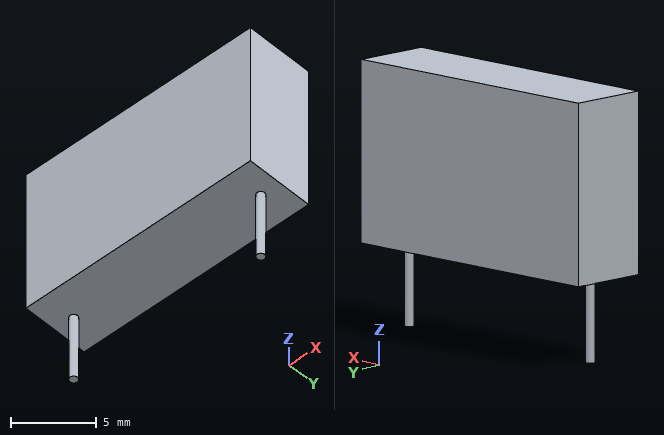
import cadquery as cq

housing_length = 18.0
housing_width = 5.0
housing_height = 11.0

overall_height = 16.1
lead_length = overall_height - housing_height
lead_diameter = 0.6
lead_pitch = 15.0


def make_housing():
    """Plain rectangular block standing on the XY plane."""
    return cq.Workplane("XY").box(
        housing_length, housing_width, housing_height, centered=(True, True, False)
    )


def make_lead(x):
    """Round wire hanging from the underside of the housing at the given X."""
    return cq.Workplane("XY").center(x, 0).circle(lead_diameter / 2).extrude(-lead_length)


housing = make_housing()
leads = [make_lead(side * lead_pitch / 2) for side in (-1, 1)]

result = cq.Compound.makeCompound([housing.val(), *[lead.val() for lead in leads]])